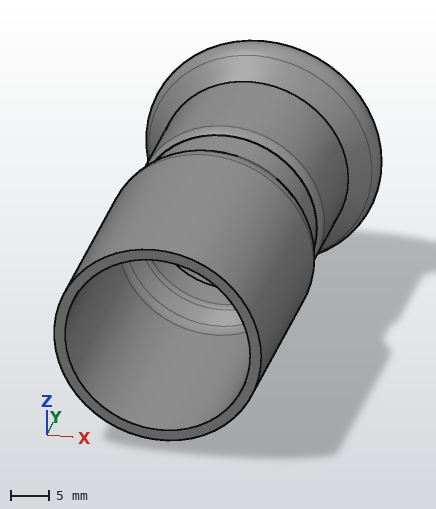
import cadquery as cq
import math

length = 60.0
wall = 1.5

spigot_radius = 28.0 / 2
neck_radius = 24.1 / 2
socket_radius = 25.3 / 2
bead_radius = 31.7 / 2

spigot_bore_radius = spigot_radius - wall
neck_bore_radius = 21.0 / 2
socket_bore_radius = 22.2 / 2

spigot_end = 27.9
neck_end = 37.3
socket_start = 39.0

shoulder_angle = math.radians(30)
shoulder_round = 4.9
neck_round = 0.5
shoulder_center_radius = spigot_radius - shoulder_round

base_depth = socket_start - neck_end
base_end_radius = 12.1
base_drop = socket_radius - base_end_radius
base_round = (base_depth**2 + base_drop**2) / (2 * base_drop)

bead_round = 3.2
bead_angle = math.radians(40)
bead_center_y = length - bead_round
bead_center_radius = bead_radius - bead_round


def arc_point(center_radius, center_y, radius, angle):
    """Point on a round section, with the angle measured from outward radial toward +Y."""
    return (center_radius + radius * math.cos(angle), center_y + radius * math.sin(angle))


def cone_end(start, end_radius, angle, direction):
    """Point where a cone, sloped by angle from the axis, reaches end_radius."""
    start_radius, start_y = start
    return (end_radius, start_y + direction * (start_radius - end_radius) / math.tan(angle))


def add_shoulder(profile, spigot_side_round, neck_side_round, end_radius):
    """Append the spigot-side round, the cone and the neck-side round, ending at end_radius."""
    half_angle = shoulder_angle / 2
    round_middle = arc_point(shoulder_center_radius, spigot_end, spigot_side_round, half_angle)
    round_end = arc_point(shoulder_center_radius, spigot_end, spigot_side_round, shoulder_angle)
    neck_center_radius = end_radius + neck_side_round
    cone_end_radius = neck_center_radius - neck_side_round * math.cos(shoulder_angle)
    cone_stop = cone_end(round_end, cone_end_radius, shoulder_angle, 1)
    neck_center_y = cone_stop[1] + neck_side_round * math.sin(shoulder_angle)
    neck_middle = arc_point(neck_center_radius, neck_center_y, neck_side_round, math.pi + half_angle)
    return (
        profile.threePointArc(round_middle, round_end)
        .lineTo(*cone_stop)
        .threePointArc(neck_middle, (end_radius, neck_center_y))
    )


def solid_of_revolution(profile):
    return profile.close().revolve(360, (0, 0), (0, 1))


def outer_body():
    base_middle = arc_point(
        socket_radius - base_round,
        socket_start,
        base_round,
        -math.asin(base_depth / base_round) / 2,
    )
    bead_start = arc_point(bead_center_radius, bead_center_y, bead_round, -bead_angle)
    profile = (
        cq.Workplane("XY")
        .lineTo(spigot_radius, 0)
        .lineTo(spigot_radius, spigot_end)
    )
    profile = add_shoulder(profile, shoulder_round, neck_round, neck_radius)
    profile = (
        profile.lineTo(neck_radius, neck_end)
        .lineTo(base_end_radius, neck_end)
        .threePointArc(base_middle, (socket_radius, socket_start))
        .lineTo(*cone_end(bead_start, socket_radius, bead_angle, -1))
        .lineTo(*bead_start)
        .threePointArc((bead_radius, bead_center_y), (bead_center_radius, length))
        .lineTo(0, length)
    )
    return solid_of_revolution(profile)


def stepped_bore():
    profile = (
        cq.Workplane("XY")
        .lineTo(spigot_bore_radius, 0)
        .lineTo(spigot_bore_radius, spigot_end)
    )
    profile = add_shoulder(profile, shoulder_round - wall, neck_round + wall, neck_bore_radius)
    profile = (
        profile.lineTo(neck_bore_radius, neck_end)
        .lineTo(socket_bore_radius, neck_end)
        .lineTo(socket_bore_radius, length)
        .lineTo(0, length)
    )
    return solid_of_revolution(profile)


result = outer_body().cut(stepped_bore())